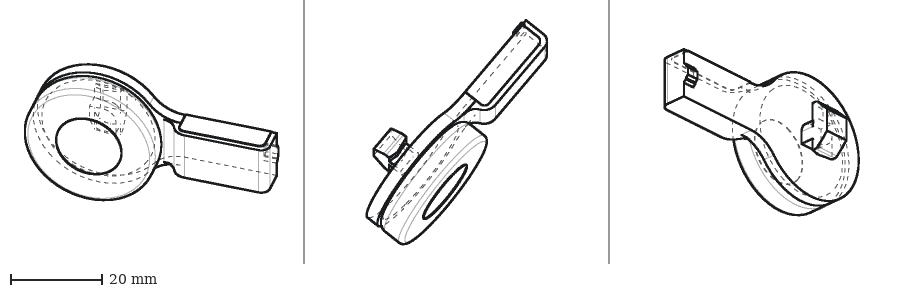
import cadquery as cq
import math

disc_diameter = 30.0
disc_radius = disc_diameter / 2
plate_thickness = 3.0
overall_length = 55.0
arm_end = overall_length - disc_radius

knob_front = -10.0
knob_back_round = 2.0
knob_front_round = 1.0
recess_diameter = 15.0
recess_depth = 0.15

arm_half_width = 5.9
neck_radius = 9.0
arm_front = -7.0
step_start = disc_radius
step_length = 6.0
arm_overlap = 0.55
arm_end_round = 2.0

pad_start = 19.05
arm_wall = 1.25
pad_round = 1.3
pad_height = 0.15

lip_length = 2.95
lip_height = 1.25
lip_ledge = 0.3
lip_width = 4.95

stud_radius = 3.0
head_back = 7.8
head_half_length = 5.9
head_chamfer = 3.15
head_round = 1.0
head_edge = 3.4
head_ridge = 2.8
ridge_offset = 0.9


def extrude_back(sketch, start, end):
    """Extrude an XZ sketch from one Y position to another."""
    return sketch.extrude(start - end).translate((0, start, 0))


def make_plate():
    disc = extrude_back(cq.Workplane("XZ").circle(disc_radius), -plate_thickness, 0)
    centre_z = arm_half_width + neck_radius
    centre_distance = disc_radius + neck_radius
    neck_end = math.sqrt(centre_distance**2 - centre_z**2)
    tangent_x = neck_end * disc_radius / centre_distance
    tangent_z = centre_z * disc_radius / centre_distance
    tangent_angle = math.atan2(centre_z, neck_end)
    mid_angle = (tangent_angle - 1.5 * math.pi) / 2
    mid_x = neck_end + neck_radius * math.cos(mid_angle)
    mid_z = centre_z + neck_radius * math.sin(mid_angle)
    neck = (
        cq.Workplane("XZ")
        .moveTo(0, tangent_z)
        .lineTo(tangent_x, tangent_z)
        .threePointArc((mid_x, mid_z), (neck_end, arm_half_width))
        .lineTo(neck_end, -arm_half_width)
        .threePointArc((mid_x, -mid_z), (tangent_x, -tangent_z))
        .lineTo(0, -tangent_z)
        .close()
    )
    return disc.union(extrude_back(neck, -plate_thickness, 0))


def make_knob():
    knob = extrude_back(cq.Workplane("XZ").circle(disc_radius), knob_front, -plate_thickness)
    knob = knob.faces(">Y").edges().fillet(knob_back_round)
    knob = knob.faces("<Y").edges().fillet(knob_front_round)
    recess = cq.Workplane("XZ").circle(recess_diameter / 2)
    return knob.cut(extrude_back(recess, knob_front, knob_front + recess_depth))


def make_arm():
    step_end = step_start + step_length
    step_middle = ((step_start + step_end) / 2, (arm_front - plate_thickness) / 2)
    arm = (
        cq.Workplane("XY")
        .moveTo(step_start - arm_overlap, 0)
        .lineTo(step_start - arm_overlap, -plate_thickness)
        .lineTo(step_start, -plate_thickness)
        .tangentArcPoint(step_middle, relative=False)
        .tangentArcPoint((step_end, arm_front), relative=False)
        .lineTo(arm_end, arm_front)
        .lineTo(arm_end, 0)
        .close()
        .extrude(2 * arm_half_width)
        .translate((0, 0, -arm_half_width))
    )
    return arm.edges("|Z and >X and <Y").fillet(arm_end_round)


def make_pad():
    pad_end = arm_end - arm_wall
    pad_front = arm_front + arm_wall
    pad = cq.Workplane("XY").box(
        pad_end - pad_start, -pad_front, arm_half_width + pad_height, centered=False
    )
    pad = pad.translate((pad_start, pad_front, 0))
    return pad.edges("|Z and <Y").fillet(pad_round)


def make_lip():
    lower_height = lip_height / 2
    ledge_half = lip_width / 2 - lower_height
    upper_half = ledge_half - lip_ledge
    top_half = upper_half - (lip_height - lower_height)
    lip = (
        cq.Workplane("YZ")
        .moveTo(0, -lip_width / 2)
        .lineTo(lower_height, -ledge_half)
        .lineTo(lower_height, -upper_half)
        .lineTo(lip_height, -top_half)
        .lineTo(lip_height, top_half)
        .lineTo(lower_height, upper_half)
        .lineTo(lower_height, ledge_half)
        .lineTo(0, lip_width / 2)
        .close()
        .extrude(lip_length)
    )
    return lip.translate((arm_end - lip_length, 0, 0))


def make_stem():
    stem = cq.Workplane("XZ").circle(stud_radius)
    stem = extrude_back(stem, 0, head_back - head_chamfer)
    for side in (-1, 1):
        corner = cq.Workplane("XZ").center(side * stud_radius / 2, -side * stud_radius / 2)
        corner = corner.rect(stud_radius, stud_radius)
        stem = stem.union(extrude_back(corner, 0, head_back - head_chamfer))
    return stem


def make_head():
    shoulder = head_back - head_chamfer
    tip = head_half_length - head_chamfer
    head = (
        cq.Workplane("YZ")
        .moveTo(0, -head_half_length)
        .lineTo(shoulder, -head_half_length)
        .lineTo(head_back, -tip)
        .lineTo(head_back, tip)
        .lineTo(shoulder, head_half_length)
        .lineTo(0, head_half_length)
        .close()
        .extrude(stud_radius, both=True)
    )
    shoulder_edges = cq.selectors.BoxSelector(
        (-stud_radius, shoulder - head_round, -overall_length),
        (stud_radius, shoulder + head_round, overall_length),
    )
    head = head.edges("|X").edges(shoulder_edges).fillet(head_round)
    for side in (-1, 1):
        under = (
            cq.Workplane("XY")
            .moveTo(-stud_radius, 0)
            .lineTo(-stud_radius, head_edge)
            .lineTo(-side * ridge_offset, head_ridge)
            .lineTo(stud_radius, head_edge)
            .lineTo(stud_radius, 0)
            .close()
            .extrude(side * head_half_length)
        )
        head = head.cut(under)
    return head


result = make_plate()
for feature in (make_knob(), make_arm(), make_pad(), make_lip(), make_stem(), make_head()):
    result = result.union(feature)